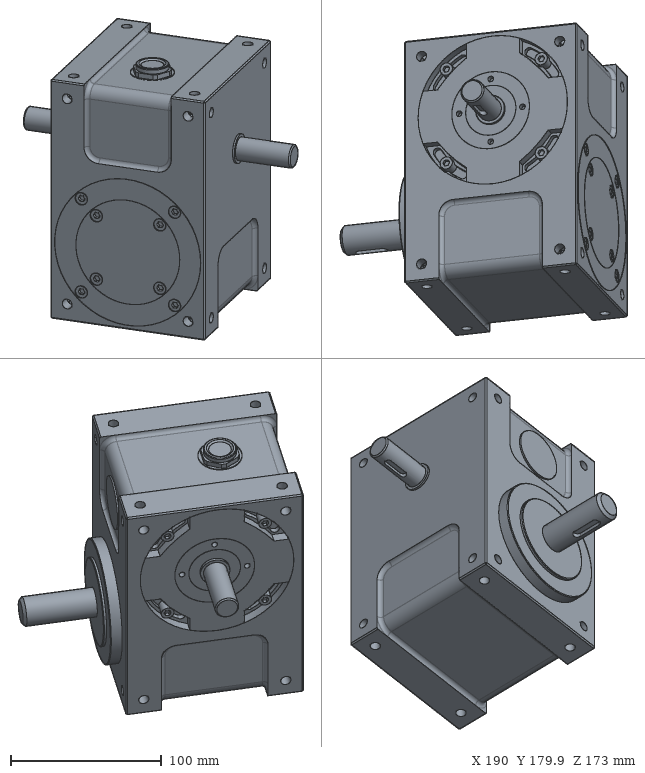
import cadquery as cq
import math

BODY_X = 110.0
BODY_Y = 120.0
BODY_Z = 170.0
BODY_CHAMFER = 1.0
OUTPUT_Z = 55.0
CENTRE_DISTANCE = 60.0
INPUT_Z = OUTPUT_Z + CENTRE_DISTANCE

SADDLE_DEPTH = 3.0
SADDLE_HEIGHT = 55.0
SADDLE_CORNER_R = 10.0
SADDLE_CREST_R = 8.0
TOP_SADDLE_WIDTH = 62.0
BOTTOM_SADDLE_WIDTH = 72.0

BOSS_DIAMETER = 36.1
BOSS_HEIGHT = 1.1

OVERCUT = 9.5

MOUNT_INSET = 12.0
MOUNT_DIAMETER = 6.8
MOUNT_DEPTH = 16.0
DRILL_POINT_ANGLE = 118

FLANGE_DIAMETER = 85.0
FLANGE_THICKNESS = 8.0
SPIGOT_DIAMETER = 60.0
SPIGOT_HEIGHT = 2.0
FLANGE_CHAMFER = 0.5
OUTPUT_SHAFT_DIAMETER = 20.0
OUTPUT_SHAFT_END_Y = 119.9
OUTPUT_SHAFT_CHAMFER = 2.0
OUTPUT_KEY_LENGTH = 22.0
OUTPUT_KEY_WIDTH = 6.0
OUTPUT_KEY_DEPTH = 3.5
OUTPUT_KEY_SETBACK = 8.5

INPUT_SPAN = 190.0
INPUT_SHAFT_DIAMETER = 16.0
INPUT_SHAFT_CHAMFER = 1.0
INPUT_KEY_LENGTH = 20.0
INPUT_KEY_WIDTH = 5.0
INPUT_KEY_DEPTH = 3.0
INPUT_KEY_SETBACK = 7.5
COLLAR_DIAMETER = 20.0
COLLAR_HEIGHT = 1.3

SCREW_HEAD_DIAMETER = 8.5
SOCKET_ACROSS_FLATS = 4.0
SOCKET_DEPTH = 2.5

COVER_DIAMETER = 104.0
COVER_STEP = 0.4
INNER_COVER_DIAMETER = 74.0
INNER_COVER_STEP = 0.2
COVER_SCREW_RADIUS = 47.0
INNER_SCREW_RADIUS = 32.0
COVER_SCREW_STEP = 0.8

HOUSING_DIAMETER = 104.0
HOUSING_OFFSET_Y = -1.5
HOUSING_STEP = 0.2
CAP_DIAMETER = 54.0
SEAL_DIAMETER = 35.0
CAP_HOLE_DIAMETER = 3.8
CAP_HOLE_RADIUS = 22.0
CAP_HOLE_DEPTH = 4.8
CLAMP_POCKET_DEPTH = 7.0
CLAMP_POCKET_NEAR = 18.5
CLAMP_POCKET_FAR = 38.5
CLAMP_POCKET_MID_RADIUS = 41.5
CLAMP_SLOT_RADIUS = 46.7
CLAMP_SLOT_WIDTH = 5.9
CLAMP_SLOT_HALF_ANGLE = 15.5
CLAMP_SLOT_DEPTH = 3.8
CLAMP_HEAD_HEIGHT = 5.0

PLUG_Y = -15.0
PLUG_SEAT_DIAMETER = 29.3
PLUG_SEAT_DEPTH = 0.5
PLUG_HEX_ACROSS_FLATS = 24.0
PLUG_HEX_TURNED_DIAMETER = 26.0
PLUG_HEX_HEIGHT = 2.8
PLUG_TOP_Z = 173.0
PLUG_CAP_DIAMETER = 22.0
PLUG_CAP_CHAMFER = 0.5
PLUG_DISH_DIAMETER = 17.9
PLUG_DISH_FLOOR_DIAMETER = 15.0
PLUG_DISH_DEPTH = 1.0


def rod(plane, origin, diameter, length):
    """Cylinder along the plane's normal, starting at the origin."""
    return cq.Workplane(plane, origin=origin).circle(diameter / 2).extrude(length)


def hexagon(plane, origin, across_flats, length):
    """Hexagonal prism with corners on the plane's local x axis."""
    across_corners = across_flats / math.cos(math.radians(30))
    return cq.Workplane(plane, origin=origin).polygon(6, across_corners).extrude(length)


def diagonal_points(radius):
    """The four points at 45 degrees on a circle."""
    offset = radius / math.sqrt(2)
    return [(sx * offset, sz * offset) for sx in (-1, 1) for sz in (-1, 1)]


def saddle_tool(width, span):
    """Tool for a recess of given width in X that wraps over the top along Y, span long."""
    bottom = BODY_Z - SADDLE_HEIGHT
    core_length = span - 2 * SADDLE_DEPTH
    channel = (
        cq.Workplane("XY", origin=(0, 0, bottom))
        .box(width, span + 2 * OVERCUT, SADDLE_HEIGHT + OVERCUT, centered=(True, True, False))
        .edges("|Y and <Z")
        .fillet(SADDLE_CORNER_R)
    )
    core = (
        cq.Workplane("XY")
        .box(2 * width, core_length, BODY_Z - SADDLE_DEPTH, centered=(True, True, False))
        .edges("|X and >Z")
        .fillet(SADDLE_CREST_R)
    )
    tool = channel.cut(core)
    crest = cq.selectors.BoxSelector(
        (-width, -core_length / 2 - 0.2, bottom - 1.9),
        (width, core_length / 2 + 0.2, BODY_Z - SADDLE_DEPTH + 0.2),
    )
    inner_edges = tool.edges(crest).edges("not(|X)").vals()
    sill = tool.faces("<Z").edges("|X").edges(crest).vals()
    return tool.newObject(inner_edges + sill).fillet(SADDLE_DEPTH * 0.99)


def make_body():
    """Chamfered block with the top and bottom saddle recesses."""
    body = (
        cq.Workplane("XY")
        .box(BODY_X, BODY_Y, BODY_Z, centered=(True, True, False))
        .edges()
        .chamfer(BODY_CHAMFER)
    )
    body = body.cut(saddle_tool(TOP_SADDLE_WIDTH, BODY_Y))
    bottom_tool = (
        saddle_tool(BOTTOM_SADDLE_WIDTH, BODY_X)
        .rotate((0, 0, 0), (0, 0, 1), 90)
        .mirror("XY")
        .translate((0, 0, BODY_Z))
    )
    return body.cut(bottom_tool)


def add_recess_boss(body):
    """Boss in the middle of the flat wall between the recess crest and its sill."""
    wall_top = BODY_Z - SADDLE_DEPTH - SADDLE_CREST_R
    wall_bottom = BODY_Z - SADDLE_HEIGHT + SADDLE_DEPTH
    start = (0, 0, (wall_top + wall_bottom) / 2)
    length = BODY_Y / 2 - SADDLE_DEPTH + BOSS_HEIGHT
    return body.union(rod("XZ", start, BOSS_DIAMETER, -length))


def drilled_hole(point, direction):
    """Blind hole with a drill-point end."""
    radius = MOUNT_DIAMETER / 2
    point_length = radius / math.tan(math.radians(DRILL_POINT_ANGLE / 2))
    start = cq.Vector(*point)
    axis = cq.Vector(*direction)
    shank = cq.Solid.makeCylinder(radius, MOUNT_DEPTH, start, axis)
    tip = cq.Solid.makeCone(radius, 0, point_length, start + axis * MOUNT_DEPTH, axis)
    return shank.fuse(tip)


def cut_mounting_holes(body):
    """One hole along each axis at each of the eight corners."""
    sizes = (BODY_X, BODY_Y, BODY_Z)
    for sx in (-1, 1):
        for sy in (-1, 1):
            for sz in (-1, 1):
                signs = (sx, sy, sz)
                for axis in range(3):
                    point = [s * (size / 2 - MOUNT_INSET) for s, size in zip(signs, sizes)]
                    point[axis] = signs[axis] * sizes[axis] / 2
                    point[2] += BODY_Z / 2
                    direction = [0, 0, 0]
                    direction[axis] = -signs[axis]
                    body = body.cut(cq.Workplane(drilled_hole(point, direction)))
    return body


def cut_front_cover(body):
    """Sunk cover on the -Y face with its inner plate and socket screws."""
    face_y = -BODY_Y / 2
    cover_y = face_y + COVER_STEP
    inner_y = cover_y + INNER_COVER_STEP
    body = body.cut(rod("XZ", (0, cover_y, OUTPUT_Z), COVER_DIAMETER, OVERCUT))
    body = body.cut(rod("XZ", (0, inner_y, OUTPUT_Z), INNER_COVER_DIAMETER, OVERCUT))
    for radius, plate_y in ((COVER_SCREW_RADIUS, cover_y), (INNER_SCREW_RADIUS, inner_y)):
        head_y = plate_y + COVER_SCREW_STEP
        for x, z in diagonal_points(radius):
            body = body.cut(rod("XZ", (x, head_y, OUTPUT_Z + z), SCREW_HEAD_DIAMETER, OVERCUT))
            socket_start = (x, head_y + SOCKET_DEPTH, OUTPUT_Z + z)
            body = body.cut(hexagon("XZ", socket_start, SOCKET_ACROSS_FLATS, SOCKET_DEPTH))
    return body


def housing_recess(origin):
    """Tool for the sunk disc with four deeper corner pockets, bounded inwards by shallow arcs."""
    mid = CLAMP_POCKET_MID_RADIUS / math.sqrt(2)
    reach = HOUSING_DIAMETER
    land = cq.Workplane("YZ").rect(reach, reach).extrude(reach)
    corner = (
        cq.Workplane("YZ")
        .moveTo(CLAMP_POCKET_NEAR, CLAMP_POCKET_FAR)
        .threePointArc((mid, mid), (CLAMP_POCKET_FAR, CLAMP_POCKET_NEAR))
        .lineTo(reach, CLAMP_POCKET_NEAR)
        .lineTo(reach, reach)
        .lineTo(CLAMP_POCKET_NEAR, reach)
        .close()
        .extrude(reach)
    )
    for turn in range(4):
        land = land.cut(corner.rotate((0, 0, 0), (1, 0, 0), 90 * turn))
    disc = rod("YZ", (0, 0, 0), HOUSING_DIAMETER, CLAMP_POCKET_DEPTH)
    return disc.cut(land.translate((HOUSING_STEP, 0, 0))).translate(origin)


def clamp_slot(origin):
    """Arc slot with round ends, centred at 45 degrees, below the pocket floor."""
    def at(radius, degrees):
        angle = math.radians(degrees)
        return (radius * math.cos(angle), radius * math.sin(angle))

    inner = CLAMP_SLOT_RADIUS - CLAMP_SLOT_WIDTH / 2
    outer = CLAMP_SLOT_RADIUS + CLAMP_SLOT_WIDTH / 2
    low = 45 - CLAMP_SLOT_HALF_ANGLE
    high = 45 + CLAMP_SLOT_HALF_ANGLE
    end_bulge = math.degrees(CLAMP_SLOT_WIDTH / 2 / CLAMP_SLOT_RADIUS)
    return (
        cq.Workplane("YZ", origin=origin)
        .moveTo(*at(inner, low))
        .threePointArc(at(inner, 45), at(inner, high))
        .threePointArc(at(CLAMP_SLOT_RADIUS, high + end_bulge), at(outer, high))
        .threePointArc(at(outer, 45), at(outer, low))
        .threePointArc(at(CLAMP_SLOT_RADIUS, low - end_bulge), at(inner, low))
        .close()
        .extrude(CLAMP_POCKET_DEPTH + CLAMP_SLOT_DEPTH)
    )


def add_bearing_housing(body):
    """Steps, clamp slots, clamp screws and cap holes of the -X face."""
    face_x = -BODY_X / 2
    origin = (face_x, HOUSING_OFFSET_Y, INPUT_Z)
    body = body.cut(housing_recess(origin))
    body = body.cut(rod("YZ", (face_x, 0, INPUT_Z), CAP_DIAMETER, 2 * HOUSING_STEP))
    body = body.cut(rod("YZ", (face_x, 0, INPUT_Z), SEAL_DIAMETER, 3 * HOUSING_STEP))

    axis_end = (face_x + 1.9, HOUSING_OFFSET_Y, INPUT_Z)
    floor_x = face_x + CLAMP_POCKET_DEPTH
    head_x = floor_x - CLAMP_HEAD_HEIGHT
    head_length = CLAMP_HEAD_HEIGHT + 2 * CLAMP_SLOT_DEPTH
    slot = clamp_slot(origin)
    for turn in range(4):
        body = body.cut(slot.rotate(origin, axis_end, 90 * turn))
    for y, z in diagonal_points(CLAMP_SLOT_RADIUS):
        head = (head_x, HOUSING_OFFSET_Y + y, INPUT_Z + z)
        screw = rod("YZ", head, SCREW_HEAD_DIAMETER, head_length)
        body = body.union(screw.cut(hexagon("YZ", head, SOCKET_ACROSS_FLATS, SOCKET_DEPTH)))

    hole_spots = [(CAP_HOLE_RADIUS, 0), (-CAP_HOLE_RADIUS, 0), (0, CAP_HOLE_RADIUS), (0, -CAP_HOLE_RADIUS)]
    for y, z in hole_spots:
        body = body.cut(rod("YZ", (face_x, y, INPUT_Z + z), CAP_HOLE_DIAMETER, CAP_HOLE_DEPTH))
    return body


def keyed_shaft(diameter, length, chamfer, key_length, key_width, key_depth, key_setback):
    """Shaft along +X from the origin to its chamfered end, keyway on the -Z side."""
    shaft = rod("YZ", (0, 0, 0), diameter, length).faces(">X").chamfer(chamfer)
    key_x = length - key_setback - key_length / 2
    keyway = (
        cq.Workplane("XY", origin=(key_x, 0, key_depth - diameter / 2))
        .slot2D(key_length, key_width)
        .extrude(-diameter)
    )
    return shaft.cut(keyway)


def add_input_shaft(body):
    """Collar and keyed shaft end on both X faces."""
    half_span = INPUT_SPAN / 2
    shaft = keyed_shaft(
        INPUT_SHAFT_DIAMETER, half_span, INPUT_SHAFT_CHAMFER,
        INPUT_KEY_LENGTH, INPUT_KEY_WIDTH, INPUT_KEY_DEPTH, INPUT_KEY_SETBACK,
    )
    collar = rod("YZ", (0, 0, 0), COLLAR_DIAMETER, BODY_X / 2 + COLLAR_HEIGHT)
    end = shaft.union(collar).translate((0, 0, INPUT_Z))
    return body.union(end).union(end.mirror("YZ"))


def add_output(body):
    """Flange, spigot and keyed shaft on the +Y face."""
    face_y = BODY_Y / 2
    spigot_end = face_y + FLANGE_THICKNESS + SPIGOT_HEIGHT
    flange = rod("XZ", (0, 0, OUTPUT_Z), FLANGE_DIAMETER, -(face_y + FLANGE_THICKNESS))
    flange = flange.faces(">Y").chamfer(FLANGE_CHAMFER)
    spigot = rod("XZ", (0, 0, OUTPUT_Z), SPIGOT_DIAMETER, -spigot_end)
    spigot = spigot.faces(">Y").chamfer(FLANGE_CHAMFER)
    shaft = keyed_shaft(
        OUTPUT_SHAFT_DIAMETER, OUTPUT_SHAFT_END_Y, OUTPUT_SHAFT_CHAMFER,
        OUTPUT_KEY_LENGTH, OUTPUT_KEY_WIDTH, OUTPUT_KEY_DEPTH, OUTPUT_KEY_SETBACK,
    )
    shaft = shaft.rotate((0, 0, 0), (0, 0, 1), 90).translate((0, 0, OUTPUT_Z))
    return body.union(flange).union(spigot).union(shaft)


def add_oil_plug(body):
    """Spot-faced seat with a hexagon-based plug and a dished cap."""
    floor_z = BODY_Z - SADDLE_DEPTH
    seat_z = floor_z - PLUG_SEAT_DEPTH
    hex_top_z = floor_z + PLUG_HEX_HEIGHT
    seat = (0, PLUG_Y, seat_z)
    body = body.cut(rod("XY", seat, PLUG_SEAT_DIAMETER, OVERCUT))
    hex_length = hex_top_z - seat_z
    base = hexagon("XY", seat, PLUG_HEX_ACROSS_FLATS, hex_length)
    base = base.intersect(rod("XY", seat, PLUG_HEX_TURNED_DIAMETER, hex_length))
    cap = rod("XY", seat, PLUG_CAP_DIAMETER, PLUG_TOP_Z - seat_z)
    cap = cap.faces(">Z").chamfer(PLUG_CAP_CHAMFER)
    dish = cq.Solid.makeCone(
        PLUG_DISH_FLOOR_DIAMETER / 2, PLUG_DISH_DIAMETER / 2, PLUG_DISH_DEPTH,
        cq.Vector(0, PLUG_Y, PLUG_TOP_Z - PLUG_DISH_DEPTH), cq.Vector(0, 0, 1),
    )
    return body.union(base).union(cap.cut(cq.Workplane(dish)))


result = make_body()
result = add_recess_boss(result)
result = cut_mounting_holes(result)
result = cut_front_cover(result)
result = add_bearing_housing(result)
result = add_input_shaft(result)
result = add_output(result)
result = add_oil_plug(result)